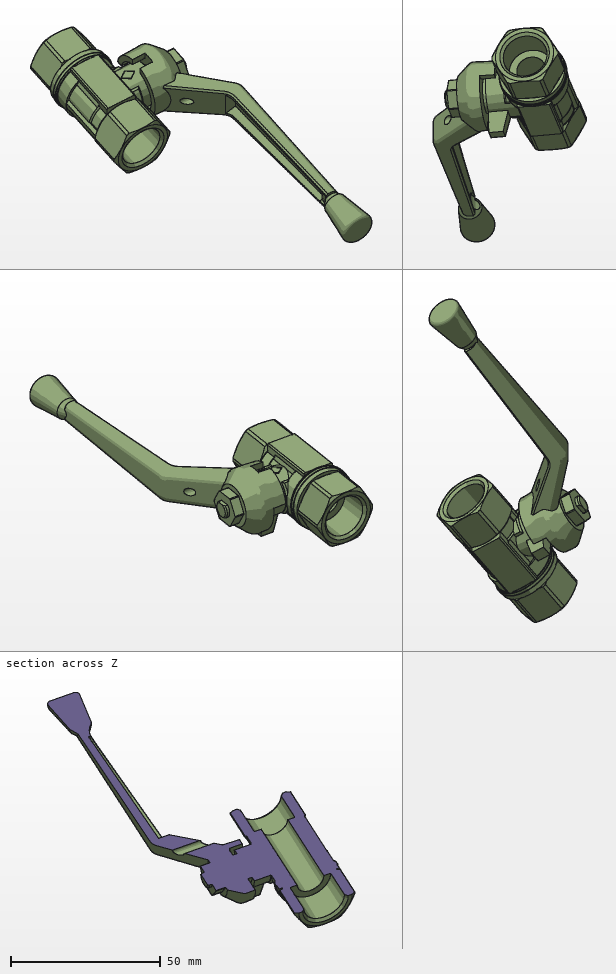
import cadquery as cq
import math


body_length = 51.5
hex_across_flats = 20.1
hex_corner_radius = 11.3
hex_end_radius = 9.9
hex_chamfer = 0.6
left_hex_end = 12.6
right_hex_start = 38.3
right_hex_lead = 1.0
ring_radius = 11.5
ring_start = 14.6
ring_end = 15.8
shoulder_end = 16.4
barrel_radius = 10.9
panel_radius = 10.0
neck_radius = 9.7
neck_bevel = 0.6
panel_start = 21.4
panel_end = 33.7
plate_height = 11.0
plate_half_width = 5.8
plate_edge_chamfer = 0.5
plate_foot_height = 9.1
plate_foot_half_width = 6.5
rib_radius = 10.8
rib_top_half_width = 1.1
rib_base_half_width = 2.3
rib_end = 39.7
thread_radius = 7.5
thread_mouth_radius = 8.5
thread_depth = 11.6
port_radius = 4.9

stem_x = 27.3
stem_radius = 7.8
stem_top = 17.2
foot_radius = 8.6
foot_top = 11.0
foot_chamfer = 0.6
foot_half_depth = 6.1
mark_half_width = 2.0
mark_bottom = 7.4
mark_top = 12.9
mark_height = 0.2
tab_reach = 15.0
tab_tip_half_width = 2.0
tab_root_half_width = 2.5
tab_root_y = 10.5
tab_tip_y = 12.2
spindle_radius = 3.1
spindle_half_flat = 2.5
spindle_top = 32.1
spindle_chamfer = 0.5
nut_half_flats = 5.5
nut_corner_radius = 6.2
nut_top = 30.6

hub_radius = 11.8
hub_rim_radius = 11.4
hub_top_radius = 7.6
hub_top = 27.1
hub_cone_start = 22.4
hub_cone_fillet = 2.0
skirt_top = 18.5
skirt_bottom = 13.5
skirt_inner_radius = 9.1
core_radius = 6.0
skirt_stop = 1.8
notch_half_width = 2.3

arm_root_top = (31.8, 24.3)
arm_root_bottom = (37.0, 17.3)
bend_top_x = 49.1
bend_top = 41.0
bend_bottom_x = 51.7
bend_bottom = 34.9
bend_reach = 1.8
arm_clear_height = 49.0
arm_end_x = 106.0
arm_end_top = 42.0
arm_end_bottom = 37.5
arm_end_half_width = 3.9
arm_root_half_width = 6.6
arm_edge_radius = 2.6
arm_lower_chamfer = 0.6
outer_bend_radius = 4.3
inner_bend_radius = 4.9
hole_x = 42.4
hole_radius = 1.5
channel_start = 50.8
channel_end = 102.2
channel_start_mouth = (33.7, 4.5)
channel_start_floor = (37.7, 3.2)
channel_end_mouth = (36.8, 3.2)
channel_end_floor = (39.2, 2.0)
knob_y = 39.6
knob_start = 104.1
knob_neck_radius = 2.1
knob_shoulder = 107.9
knob_shoulder_radius = 4.0
knob_radius = 6.1
knob_end = 122.5
knob_rounding = 1.5
scoop_y = 32.2
scoop_radius = 6.1
scoop_half_width = 2.7


def revolve_x(points):
    """Solid of revolution about the X axis from (x, radius) points."""
    return cq.Workplane("XY").polyline(points).close().revolve(360, (0, 0, 0), (1, 0, 0))


def cylinder_y(bottom, top, radius):
    """Cylinder on the stem axis between two heights."""
    return cq.Workplane("XZ", origin=(stem_x, bottom, 0)).circle(radius).extrude(bottom - top)


def block(x_range, y_range, z_range):
    """Box between the given limits on each axis."""
    low, high = zip(x_range, y_range, z_range)
    sizes = [b - a for a, b in zip(low, high)]
    return cq.Workplane("XY").box(*sizes, centered=False).translate(low)


def hex_end(start, end, start_bevel, end_bevel):
    """Hexagon with flats on +-Z, its corners turned round and both ends bevelled."""
    across_corners = hex_across_flats / math.cos(math.pi / 6)
    hexagon = cq.Workplane("YZ", origin=(start, 0, 0)).polygon(6, across_corners).extrude(end - start)
    turned = revolve_x([
        (start, 0),
        (start, hex_end_radius),
        (start + start_bevel, hex_corner_radius),
        (end - end_bevel, hex_corner_radius),
        (end, hex_end_radius),
        (end, 0),
    ])
    return hexagon.intersect(turned)


def make_barrel():
    """Round middle of the body with flat plates on +-Z, ribs on +-Y and sunken panels between."""
    barrel = revolve_x([
        (left_hex_end, 0),
        (left_hex_end, hex_corner_radius),
        (ring_start, hex_corner_radius),
        (ring_start, ring_radius),
        (ring_end, ring_radius),
        (ring_end, hex_corner_radius),
        (shoulder_end, hex_corner_radius),
        (shoulder_end, barrel_radius),
        (panel_start, barrel_radius),
        (panel_start, panel_radius),
        (panel_end, panel_radius),
        (panel_end + neck_bevel, neck_radius),
        (right_hex_start, neck_radius),
        (right_hex_start, 0),
    ])
    plates = block(
        (shoulder_end, right_hex_start),
        (-plate_half_width, plate_half_width),
        (-plate_height, plate_height),
    ).edges("|X").chamfer(plate_edge_chamfer)
    ribs = (
        cq.Workplane("YZ", origin=(panel_start, 0, 0))
        .polyline([
            (-rib_radius, -rib_top_half_width),
            (-rib_radius, rib_top_half_width),
            (-neck_radius, rib_base_half_width),
            (neck_radius, rib_base_half_width),
            (rib_radius, rib_top_half_width),
            (rib_radius, -rib_top_half_width),
            (neck_radius, -rib_base_half_width),
            (-neck_radius, -rib_base_half_width),
        ])
        .close()
        .extrude(rib_end - panel_start)
    )
    foot_root = math.sqrt(panel_radius**2 - plate_foot_half_width**2)
    plate_feet = (
        cq.Workplane("YZ", origin=(panel_start, 0, 0))
        .polyline([
            (plate_foot_half_width, -foot_root),
            (plate_foot_half_width, foot_root),
            (plate_half_width, plate_foot_height),
            (-plate_half_width, plate_foot_height),
            (-plate_foot_half_width, foot_root),
            (-plate_foot_half_width, -foot_root),
            (-plate_half_width, -plate_foot_height),
            (plate_half_width, -plate_foot_height),
        ])
        .close()
        .extrude(panel_end - panel_start)
    )
    return barrel.union(plates).union(plate_feet).union(ribs)


def make_bore():
    """Through port widened at each end to a thread bore with a bevelled mouth."""
    bevel = thread_mouth_radius - thread_radius
    return revolve_x([
        (0, 0),
        (0, thread_mouth_radius),
        (bevel, thread_radius),
        (thread_depth, thread_radius),
        (thread_depth, port_radius),
        (body_length - thread_depth, port_radius),
        (body_length - thread_depth, thread_radius),
        (body_length - bevel, thread_radius),
        (body_length, thread_mouth_radius),
        (body_length, 0),
    ])


def make_stem():
    """Stem housing with a flared foot, a raised diamond on +Z and the stop tab on -Z."""
    stem = cylinder_y(0, stem_top, stem_radius)
    foot = cylinder_y(0, foot_top, foot_radius).faces(">Y").chamfer(foot_chamfer)
    foot = foot.intersect(block(
        (stem_x - foot_radius, stem_x + foot_radius),
        (0, foot_top),
        (-foot_half_depth, foot_half_depth),
    ))
    mark_middle = (mark_bottom + mark_top) / 2
    mark = (
        cq.Workplane("XY")
        .polyline([
            (stem_x, mark_bottom),
            (stem_x + mark_half_width, mark_middle),
            (stem_x, mark_top),
            (stem_x - mark_half_width, mark_middle),
        ])
        .close()
        .extrude(stem_radius + mark_height)
    )
    tab_side = (
        cq.Workplane("YZ", origin=(stem_x - tab_root_half_width, 0, 0))
        .polyline([
            (stem_top, 0),
            (tab_root_y, 0),
            (tab_root_y, -stem_radius),
            (tab_tip_y, -tab_reach),
            (stem_top, -tab_reach),
        ])
        .close()
        .extrude(2 * tab_root_half_width)
    )
    tab_front = (
        cq.Workplane("XZ", origin=(stem_x, 0, 0))
        .polyline([
            (-tab_root_half_width, 0),
            (tab_root_half_width, 0),
            (tab_root_half_width, -stem_radius),
            (tab_tip_half_width, -tab_reach),
            (-tab_tip_half_width, -tab_reach),
            (-tab_root_half_width, -stem_radius),
        ])
        .close()
        .extrude(-stem_top)
    )
    return stem.union(foot).union(mark).union(tab_side.intersect(tab_front))


def make_hub():
    """Conical lever hub whose hollow skirt is cut away over one quarter and notched at +Z."""
    hub = (
        cq.Workplane("XY")
        .polyline([
            (0, skirt_bottom),
            (hub_rim_radius, skirt_bottom),
            (hub_radius, hub_cone_start),
            (hub_top_radius, hub_top),
            (0, hub_top),
        ])
        .close()
        .revolve(360, (0, 0, 0), (0, 1, 0))
        .edges(cq.selectors.NearestToPointSelector((0, hub_cone_start, 0))).fillet(hub_cone_fillet)
        .translate((stem_x, 0, 0))
    )
    cavity = cylinder_y(skirt_bottom, skirt_top, skirt_inner_radius)
    swing = block(
        (stem_x - hub_radius, stem_x + notch_half_width),
        (skirt_bottom, skirt_top),
        (-hub_radius, skirt_stop),
    )
    notch = block(
        (stem_x - notch_half_width, stem_x + notch_half_width),
        (skirt_bottom, skirt_top),
        (0, hub_radius),
    )
    core = cylinder_y(stem_top, skirt_top, core_radius)
    return hub.cut(cavity).cut(swing).cut(notch).union(core)


def make_nut():
    """Hexagon nut with truncated corners on +-X, and the double-flatted spindle end."""
    nut = (
        cq.Workplane("XZ", origin=(stem_x, hub_top, 0))
        .polygon(6, 2 * nut_half_flats / math.cos(math.pi / 6))
        .extrude(hub_top - nut_top)
        .intersect(cylinder_y(hub_top, nut_top, nut_corner_radius))
    )
    spindle = cylinder_y(hub_top, spindle_top, spindle_radius).faces(">Y").chamfer(spindle_chamfer)
    flats = block(
        (stem_x - spindle_radius, stem_x + spindle_radius),
        (hub_top, spindle_top),
        (-spindle_half_flat, spindle_half_flat),
    )
    return nut.union(spindle.intersect(flats))


def edges_around(x, y):
    """Selector for the edges centred near a bend of the arm."""
    return cq.selectors.BoxSelector(
        (x - bend_reach, y - bend_reach, -2 * arm_root_half_width),
        (x + bend_reach, y + bend_reach, 2 * arm_root_half_width),
    )


def make_arm():
    """Cranked arm, tapering towards the knob, rounded above and channelled below."""
    profile = (
        cq.Workplane("XY", origin=(0, 0, -arm_root_half_width))
        .polyline([
            arm_root_top,
            (bend_top_x, bend_top),
            (arm_end_x, arm_end_top),
            (arm_end_x, arm_end_bottom),
            (bend_bottom_x, bend_bottom),
            arm_root_bottom,
        ])
        .close()
        .extrude(2 * arm_root_half_width)
    )
    nearest = cq.selectors.NearestToPointSelector
    profile = profile.edges(nearest((bend_top_x, bend_top, 0))).fillet(outer_bend_radius)
    profile = profile.edges(nearest((bend_bottom_x, bend_bottom, 0))).fillet(inner_bend_radius)
    plan = (
        cq.Workplane("XZ")
        .polyline([
            (arm_root_top[0], -arm_root_half_width),
            (arm_end_x, -arm_end_half_width),
            (arm_end_x, arm_end_half_width),
            (arm_root_top[0], arm_root_half_width),
        ])
        .close()
        .extrude(-arm_clear_height)
    )
    arm = profile.intersect(plan)
    arm = arm.edges(edges_around(bend_top_x, bend_top)).edges("not |Z").fillet(arm_edge_radius)
    arm = arm.edges(edges_around(bend_bottom_x, bend_bottom)).edges("not |Z").chamfer(arm_lower_chamfer)
    return arm.cut(make_channel()).cut(make_hole())


def make_channel():
    """Underside channel with sloping walls, narrowing and rising towards the knob."""
    def section(mouth, floor):
        (mouth_y, mouth_half), (floor_y, floor_half) = mouth, floor
        return [
            (mouth_y, -mouth_half),
            (floor_y, -floor_half),
            (floor_y, floor_half),
            (mouth_y, mouth_half),
        ]

    return (
        cq.Workplane("YZ", origin=(channel_start, 0, 0))
        .polyline(section(channel_start_mouth, channel_start_floor)).close()
        .workplane(offset=channel_end - channel_start)
        .polyline(section(channel_end_mouth, channel_end_floor)).close()
        .loft(ruled=True)
    )


def make_hole():
    """Round hole through the sloping part of the arm, parallel to the stem."""
    return cq.Workplane("XZ", origin=(hole_x, 0, 0)).circle(hole_radius).extrude(-arm_clear_height)


def make_knob():
    """Flared knob with a rounded end, starting from a short cone on the arm."""
    return (
        revolve_x([
            (knob_start, 0),
            (knob_start, knob_neck_radius),
            (knob_shoulder, knob_shoulder_radius),
            (knob_end, knob_radius),
            (knob_end, 0),
        ])
        .faces(">X").edges().fillet(knob_rounding)
        .translate((0, knob_y, 0))
    )


def make_scoop():
    """Rounded hollow that runs out from the end of the channel into the knob cone."""
    drum = (
        cq.Workplane("XY", origin=(channel_end, scoop_y, -scoop_half_width))
        .circle(scoop_radius)
        .extrude(2 * scoop_half_width)
    )
    return drum.intersect(block(
        (channel_end, channel_end + scoop_radius),
        (scoop_y, scoop_y + scoop_radius),
        (-scoop_half_width, scoop_half_width),
    ))


body = hex_end(0, left_hex_end, hex_chamfer, hex_chamfer)
body = body.union(hex_end(right_hex_start, body_length, right_hex_lead, hex_chamfer))
body = body.union(make_barrel())
body = body.union(make_stem()).cut(make_bore())

lever = make_arm().union(make_hub()).union(make_knob()).cut(make_scoop())

result = body.union(lever).union(make_nut())